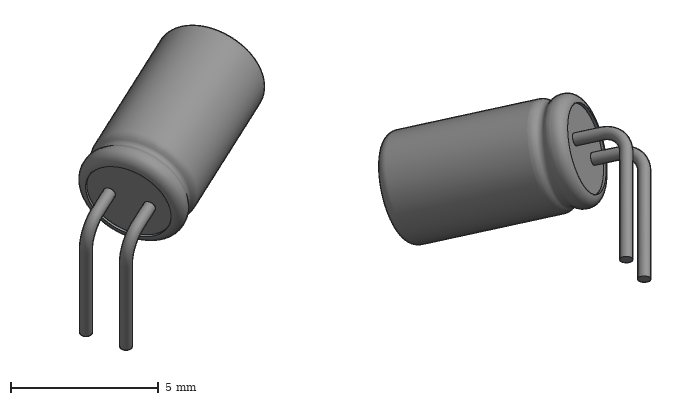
import cadquery as cq
import math


can_radius = 4.0 / 2
can_length = 7.0
end_round = 0.4
seal_recess = 0.1

groove_center_y = 0.9
groove_depth = 0.16
groove_bottom_radius = 0.225
groove_shoulder_radius = 0.4

lead_radius = 0.45 / 2
lead_pitch = 1.5
lead_straight = 0.9
lead_bend_radius = 0.9
lead_tip_z = -5.1


def shoulder_arc(side):
    """Points of a convex groove shoulder, as (radius, y), from the can wall inwards.

    side is -1 on the lead side of the groove and +1 on the far side.
    """
    radius_sum = groove_shoulder_radius + groove_bottom_radius
    sweep = math.acos(1 - groove_depth / radius_sum)
    center_r = can_radius - groove_shoulder_radius
    center_y = groove_center_y + side * radius_sum * math.sin(sweep)
    return [
        (
            center_r + groove_shoulder_radius * math.cos(angle),
            center_y - side * groove_shoulder_radius * math.sin(angle),
        )
        for angle in (0, sweep / 2, sweep)
    ]


def make_can():
    """Revolve the half profile of the can, rounded at both ends, about the Y axis.

    The flat face that the leads leave is sunk below the rounded rim.
    """
    flat_radius = can_radius - end_round
    round_middle_r = flat_radius + end_round * math.sqrt(0.5)
    round_middle_inset = end_round * (1 - math.sqrt(0.5))
    near_wall, near_middle, near_inner = shoulder_arc(-1)
    far_wall, far_middle, far_inner = shoulder_arc(1)
    groove_bottom = (can_radius - groove_depth, groove_center_y)

    profile = (
        cq.Workplane("XY")
        .moveTo(0, seal_recess)
        .lineTo(flat_radius, seal_recess)
        .lineTo(flat_radius, 0)
        .threePointArc((round_middle_r, round_middle_inset), (can_radius, end_round))
        .lineTo(*near_wall)
        .threePointArc(near_middle, near_inner)
        .threePointArc(groove_bottom, far_inner)
        .threePointArc(far_middle, far_wall)
        .lineTo(can_radius, can_length - end_round)
        .threePointArc((round_middle_r, can_length - round_middle_inset), (flat_radius, can_length))
        .lineTo(0, can_length)
        .close()
    )
    return profile.revolve(360, (0, 0, 0), (0, 1, 0))


def make_lead(x):
    """Round lead rooted in the sunk face, leaving the can along -Y and turning down along -Z."""
    bend_middle_y = -lead_straight - lead_bend_radius * math.sqrt(0.5)
    bend_middle_z = -lead_bend_radius * (1 - math.sqrt(0.5))
    leg_y = -lead_straight - lead_bend_radius
    path = (
        cq.Workplane("YZ", origin=(x, 0, 0))
        .moveTo(seal_recess, 0)
        .lineTo(-lead_straight, 0)
        .threePointArc((bend_middle_y, bend_middle_z), (leg_y, -lead_bend_radius))
        .lineTo(leg_y, lead_tip_z)
    )
    return cq.Workplane("XZ", origin=(x, seal_recess, 0)).circle(lead_radius).sweep(path)


result = make_can()
for lead_x in (-lead_pitch / 2, lead_pitch / 2):
    result = result.union(make_lead(lead_x))